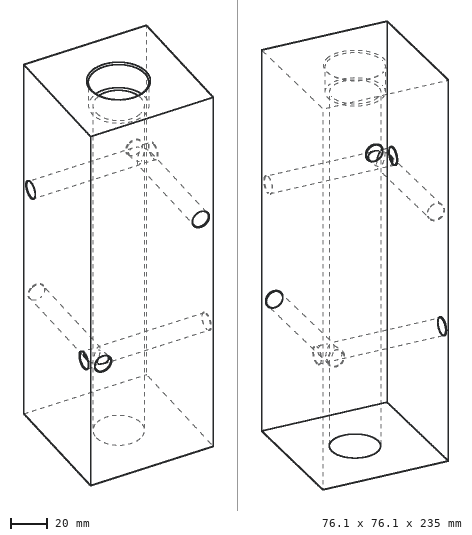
import cadquery as cq

height = 235.0
width = 76.1

bore_diameter = 28.0
counterbore_diameter = 33.0
counterbore_depth = 16.5
counterbore_chamfer = 1.0

cross_hole_diameter = 9.9
cross_hole_chamfer = 0.35
cross_hole_offset = 30.3
cross_hole_height = width / 2


def make_block():
    return cq.Workplane("XY").box(width, width, height)


def cut_central_bore(body):
    mouth_diameter = counterbore_diameter + 2 * counterbore_chamfer
    top_face = body.faces(">Z").workplane()
    body = top_face.cboreHole(bore_diameter, counterbore_diameter, counterbore_depth)
    mouth = (
        cq.Workplane("XY", origin=(0, 0, height / 2))
        .circle(mouth_diameter / 2)
        .workplane(offset=-counterbore_chamfer)
        .circle(counterbore_diameter / 2)
        .loft(ruled=True)
    )
    return body.cut(mouth)


def cross_hole(x, z):
    """Cutter along Y right through the block, flared at both ends to chamfer the hole edges."""
    hole_radius = cross_hole_diameter / 2
    mouth_radius = hole_radius + cross_hole_chamfer
    half_width = width / 2
    flare_start = half_width - cross_hole_chamfer
    half_profile = [
        (0, -half_width),
        (mouth_radius, -half_width),
        (hole_radius, -flare_start),
        (hole_radius, flare_start),
        (mouth_radius, half_width),
        (0, half_width),
    ]
    cutter = cq.Workplane("XY").polyline(half_profile).close().revolve(360, (0, 0, 0), (0, 1, 0))
    return cutter.translate((x, 0, z))


def cut_cross_holes(body):
    upper_hole = cross_hole(-cross_hole_offset, cross_hole_height)
    lower_hole = cross_hole(cross_hole_offset, -cross_hole_height)
    for hole in (upper_hole, lower_hole):
        turned_hole = hole.rotate((0, 0, 0), (0, 0, 1), -90)
        body = body.cut(hole).cut(turned_hole)
    return body


result = cut_cross_holes(cut_central_bore(make_block()))